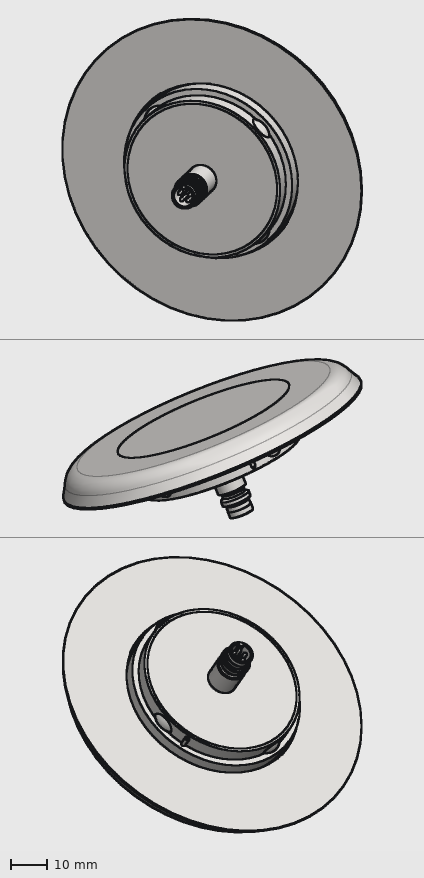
import cadquery as cq
import math


DISC_RADIUS = 44.0
DISC_THICKNESS = 6.95
RIM_WIDTH = 0.5
DOME_EDGE_RADIUS = 5.3
TAPER_START_RADIUS = 42.3
TAPER_START_Y = 3.4

BORE_RADIUS = 25.3
COLLAR_RADIUS = 24.7
COLLAR_GROOVE_DEPTH = 1.8
COLLAR_FRONT_Y = -2.8
HUB_RADIUS = 22.9
HUB_FRONT_Y = -7.2

LUG_COUNT = 4
LUG_HEIGHT = 1.0
LUG_HALF_WIDTH = 3.0
LUG_BACK_Y = -3.3

LID_RADIUS = 22.0
LID_THICKNESS = 1.8

DOWEL_RADIUS = 0.6
DOWEL_FRONT_Y = -6.6
DOWEL_TIP_LENGTH = 0.6
DOWEL_TIP_RADIUS = 0.3
DOWEL_PITCH_RADIUS = 23.0
DOWEL_ANGLE = math.radians(245)

CONNECTOR_RADIUS = 4.1
CONNECTOR_FRONT_Y = -21.65
CHAMFER_RADIUS = 3.7
SLEEVE_RADIUS = 3.3
NECK_RADIUS = 3.3
SHANK_FRONT_Y = -14.3
NECK_BACK_Y = -15.1
NECK_FRONT_Y = -15.9
BAND_BACK_Y = -16.5
BAND_FRONT_Y = -17.9
SLEEVE_BACK_Y = -18.5
TIP_BACK_Y = -19.9
TIP_RADIUS = 3.4
SOCKET_RADIUS = 2.8
SOCKET_DEPTH = 4.4
KEY_WIDTH = 1.2
KEY_BOTTOM_Z = 2.3

PIN_COUNT = 5
PIN_RADIUS = 0.5
PIN_PITCH_RADIUS = 1.6
PIN_RECESS = 0.5
PIN_SEAT_DEPTH = 0.9

SOCKET_FLOOR_Y = CONNECTOR_FRONT_Y + SOCKET_DEPTH
PIN_BACK_Y = SOCKET_FLOOR_Y + PIN_SEAT_DEPTH
PIN_FRONT_Y = CONNECTOR_FRONT_Y + PIN_RECESS
LID_BACK_Y = HUB_FRONT_Y + LID_THICKNESS


def revolve_about_y(profile):
    return profile.close().revolve(360, (0, 0, 0), (0, 1, 0))


def cylinder(radius, back_y, front_y, x=0.0, z=0.0):
    """Cylinder along Y between two Y positions."""
    return (
        cq.Workplane("XZ", origin=(x, back_y, z))
        .circle(radius)
        .extrude(back_y - front_y)
    )


def make_disc():
    arc_center_y = DISC_THICKNESS - DOME_EDGE_RADIUS
    end_angle = math.asin((TAPER_START_Y - arc_center_y) / DOME_EDGE_RADIUS)
    arc_center_radius = TAPER_START_RADIUS - DOME_EDGE_RADIUS * math.cos(end_angle)
    mid_angle = (end_angle + math.pi / 2) / 2
    arc_mid = (
        arc_center_radius + DOME_EDGE_RADIUS * math.cos(mid_angle),
        arc_center_y + DOME_EDGE_RADIUS * math.sin(mid_angle),
    )
    profile = (
        cq.Workplane("XY")
        .moveTo(BORE_RADIUS, 0)
        .lineTo(DISC_RADIUS, 0)
        .lineTo(DISC_RADIUS, RIM_WIDTH)
        .lineTo(TAPER_START_RADIUS, TAPER_START_Y)
        .threePointArc(arc_mid, (arc_center_radius, DISC_THICKNESS))
        .lineTo(BORE_RADIUS, DISC_THICKNESS)
    )
    return revolve_about_y(profile)


def make_lugs():
    """Spherical bumps around the hub, each cut flat on its back side."""
    sphere_radius = (LUG_HALF_WIDTH**2 + LUG_HEIGHT**2) / (2 * LUG_HEIGHT)
    center_radius = HUB_RADIUS + LUG_HEIGHT - sphere_radius
    keep_zone = cylinder(HUB_RADIUS + LUG_HEIGHT, LUG_BACK_Y, HUB_FRONT_Y)
    lugs = cq.Workplane("XZ")
    for index in range(LUG_COUNT):
        angle = math.radians(45) + index * 2 * math.pi / LUG_COUNT
        center = (center_radius * math.cos(angle), LUG_BACK_Y, center_radius * math.sin(angle))
        lugs = lugs.union(cq.Workplane("XY").sphere(sphere_radius).translate(center))
    return lugs.intersect(keep_zone)


def make_dowel():
    profile = (
        cq.Workplane("XY")
        .moveTo(0, COLLAR_FRONT_Y)
        .lineTo(DOWEL_RADIUS, COLLAR_FRONT_Y)
        .lineTo(DOWEL_RADIUS, DOWEL_FRONT_Y + DOWEL_TIP_LENGTH)
        .lineTo(DOWEL_TIP_RADIUS, DOWEL_FRONT_Y)
        .lineTo(0, DOWEL_FRONT_Y)
    )
    x = DOWEL_PITCH_RADIUS * math.cos(DOWEL_ANGLE)
    z = DOWEL_PITCH_RADIUS * math.sin(DOWEL_ANGLE)
    return revolve_about_y(profile).translate((x, 0, z))


def make_lid():
    return cylinder(LID_RADIUS, LID_BACK_Y, HUB_FRONT_Y)


def make_housing(lid, dowel):
    """Stepped body; a narrow groove is left between its collar and the bore of the disc."""
    base = cylinder(BORE_RADIUS, DISC_THICKNESS, COLLAR_GROOVE_DEPTH)
    collar = cylinder(COLLAR_RADIUS, COLLAR_GROOVE_DEPTH, COLLAR_FRONT_Y)
    hub = cylinder(HUB_RADIUS, COLLAR_FRONT_Y, HUB_FRONT_Y)
    body = base.union(collar).union(hub).union(make_lugs())
    return body.cut(lid).cut(dowel)


def make_pins():
    """Round-nosed contact pins on a circle, the first one at the top."""
    pins = []
    for index in range(PIN_COUNT):
        angle = math.pi / 2 + index * 2 * math.pi / PIN_COUNT
        x = PIN_PITCH_RADIUS * math.cos(angle)
        z = PIN_PITCH_RADIUS * math.sin(angle)
        shaft = cylinder(PIN_RADIUS, PIN_BACK_Y, PIN_FRONT_Y + PIN_RADIUS, x, z)
        nose = cq.Workplane("XY").sphere(PIN_RADIUS).translate((x, PIN_FRONT_Y + PIN_RADIUS, z))
        pins.append(shaft.union(nose))
    return pins


def make_connector(pins):
    profile = (
        cq.Workplane("XY")
        .moveTo(0, HUB_FRONT_Y)
        .lineTo(CONNECTOR_RADIUS, HUB_FRONT_Y)
        .lineTo(CONNECTOR_RADIUS, SHANK_FRONT_Y)
        .lineTo(CHAMFER_RADIUS, SHANK_FRONT_Y)
        .lineTo(NECK_RADIUS, NECK_BACK_Y)
        .lineTo(NECK_RADIUS, NECK_FRONT_Y)
        .lineTo(CONNECTOR_RADIUS, BAND_BACK_Y)
        .lineTo(CONNECTOR_RADIUS, BAND_FRONT_Y)
        .lineTo(CHAMFER_RADIUS, BAND_FRONT_Y)
        .lineTo(SLEEVE_RADIUS, SLEEVE_BACK_Y)
        .lineTo(SLEEVE_RADIUS, TIP_BACK_Y)
        .lineTo(TIP_RADIUS, TIP_BACK_Y)
        .lineTo(TIP_RADIUS, CONNECTOR_FRONT_Y)
        .lineTo(0, CONNECTOR_FRONT_Y)
    )
    socket = cylinder(SOCKET_RADIUS, SOCKET_FLOOR_Y, CONNECTOR_FRONT_Y)
    key = (
        cq.Workplane("XY")
        .box(KEY_WIDTH, SOCKET_DEPTH, SOCKET_RADIUS - KEY_BOTTOM_Z, centered=(True, False, False))
        .translate((0, CONNECTOR_FRONT_Y, KEY_BOTTOM_Z))
    )
    connector = revolve_about_y(profile).cut(socket.cut(key))
    for pin in pins:
        connector = connector.cut(pin)
    return connector


disc = make_disc()
lid = make_lid()
dowel = make_dowel()
housing = make_housing(lid, dowel)
pins = make_pins()
connector = make_connector(pins)

result = cq.Compound.makeCompound(
    [disc.val(), housing.val(), lid.val(), dowel.val(), connector.val(), *[pin.val() for pin in pins]]
)